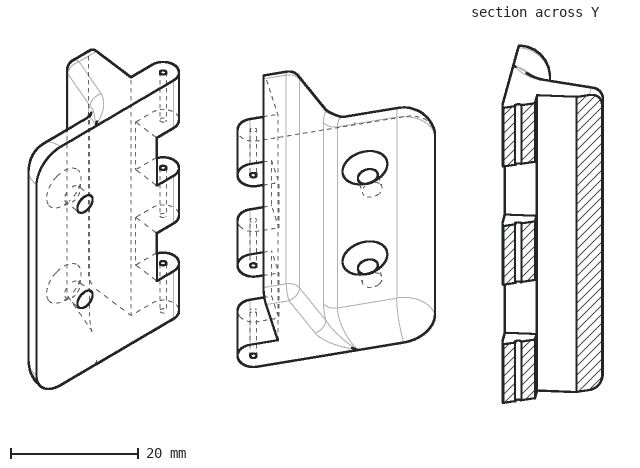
import cadquery as cq
import math

height = 50.0
lean = 27.5

barrel_radius = 2.5
pin_diameter = 1.0
leaf_front = barrel_radius
leaf_back = -barrel_radius
leaf_length = 28.6
leaf_corner = 5.0
leaf_round = 4.95

arm_start = 4.5
arm_reach = 12.5
arm_tip_width = 5.1
arm_slope = 16.7
arm_round = 1.9
seam_round = 2.0

overrun = 10.0
tolerance = 0.005

knuckle_height = height / 5
notch_floor = 3.5
notch_slots = (1, 3)

screw_diameter = 3.2
screw_head_diameter = 7.2
screw_head_angle = 90.0
screw_distance = 18.5
screw_heights = (15.0, 35.0)


def slab(x_end, y_start, y_end):
    """Full-height block that starts at the pin axis."""
    return (
        cq.Workplane("XY")
        .box(x_end, y_end - y_start, height, centered=False)
        .translate((0, y_start, 0))
    )


def lower_face_x(y):
    """Position along the leaf of the slanted arm face at offset y."""
    slant = math.tan(math.radians(arm_slope))
    return arm_start + arm_tip_width + (arm_reach - y) * slant


def make_leaf():
    leaf = slab(leaf_length, leaf_back - overrun, leaf_front)
    leaf = leaf.faces(">X").edges("|Y").fillet(leaf_corner)
    return leaf.faces(">Y").edges("not <X").fillet(leaf_round)


def make_arm():
    base = leaf_back - overrun
    arm = (
        cq.Workplane("XY", origin=(0, 0, -overrun))
        .moveTo(arm_start, base)
        .lineTo(arm_start, arm_reach)
        .lineTo(lower_face_x(arm_reach), arm_reach)
        .lineTo(lower_face_x(base), base)
        .close()
        .extrude(height + 2 * overrun)
    )
    return arm.faces(">Y").edges(">X").fillet(arm_round)


def is_seam(edge):
    """True for edges where the slanted arm face meets the leaf."""
    points = [edge.positionAt(t) for t in (0, 0.5, 1)]
    on_face = all(abs(p.x - lower_face_x(p.y)) < tolerance for p in points)
    on_leaf = all(-tolerance < p.z < height + tolerance for p in points)
    return on_face and on_leaf and edge.Center().y < leaf_front + tolerance


def is_arm_rim(edge):
    """True for the top and bottom edges around the arm tip and slanted face."""
    center = edge.Center()
    at_end = min(abs(center.z), abs(center.z - height)) < tolerance
    return at_end and center.x > arm_start + tolerance and center.y > leaf_front


def pick_edges(body, test):
    return body.newObject([edge for edge in body.edges().vals() if test(edge)])


def make_body():
    body = make_leaf().union(make_arm())
    body = pick_edges(body, is_seam).fillet(seam_round)
    body = body.intersect(slab(leaf_length, leaf_back, arm_reach))
    barrel = cq.Workplane("XY").circle(barrel_radius).extrude(height)
    neck = slab(arm_start, leaf_back, leaf_front)
    body = body.union(barrel.union(neck))
    return pick_edges(body, is_arm_rim).fillet(arm_round)


def cut_knuckle_notches(body):
    notch_length = barrel_radius + notch_floor
    for slot in notch_slots:
        notch = (
            cq.Workplane("XY")
            .box(notch_length, leaf_front - leaf_back, knuckle_height, centered=False)
            .translate((-barrel_radius, leaf_back, slot * knuckle_height))
        )
        body = body.cut(notch)
    return body


def cut_pin_hole(body):
    return body.cut(cq.Workplane("XY").circle(pin_diameter / 2).extrude(height))


def cut_screw_holes(body):
    front = cq.Plane(origin=(0, leaf_front, 0), xDir=(1, 0, 0), normal=(0, 1, 0))
    return (
        body.copyWorkplane(cq.Workplane(front))
        .pushPoints([(screw_distance, -z) for z in screw_heights])
        .cskHole(screw_diameter, screw_head_diameter, screw_head_angle)
    )


hinge = cut_screw_holes(cut_pin_hole(cut_knuckle_notches(make_body())))

result = hinge.mirror("XZ").rotate((0, 0, 0), (0, 0, 1), -(90 + lean))